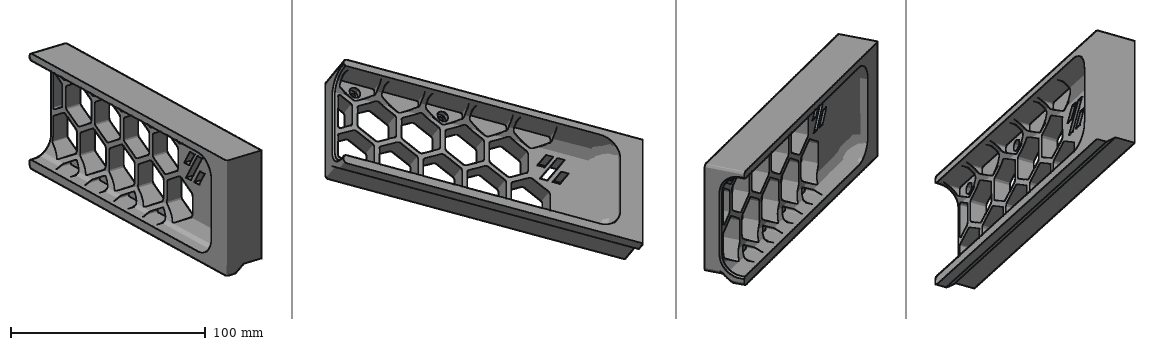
import cadquery as cq
import math

length = 170.5
depth = 22.3
height = 65.0

lip_depth = 5.6
step_end = 10.9
step_height = 4.1

end_round = 2.0
front_round = 1.0

pocket_end = 157.4
pocket_depth = 13.0
pocket_bottom = 5.1
pocket_top = 60.9
pocket_corner = 11.8
pocket_floor_round = 10.7
mouth_flare = 1.0

cell_width = 22.0
cells_per_row = 5
row_length = 125.0
cell_pitch = row_length / cells_per_row
row_pitch = cell_pitch * math.sin(math.radians(60))
first_row_z = 19.6
cell_left_limit = 2.9
cell_corner = 2.0
trim_corner = 1.0
tolerance = 0.002

screw_diameter = 3.2
counterbore_diameter = 6.0
counterbore_depth = 3.0
screw_z = 55.5
screw_cells = (0.5, 2.5)

slot_width = 4.1
slot_lean = 0.63
slot_bottom = 33.2
slot_middle = 41.1
slot_top = 49.0
left_slot_x = 116.3
long_slot_x = 117.8
right_slot_x = 125.0


def prism(points, start_y, end_y):
    """Extrude an outline of (x, z) points from start_y to end_y."""
    outline = cq.Workplane("XZ", origin=(0, start_y, 0)).polyline(points).close()
    return outline.extrude(start_y - end_y)


def box(x0, x1, y0, y1, z0, z1):
    """Box between two opposite corners."""
    return cq.Workplane("XY").box(x1 - x0, y1 - y0, z1 - z0, centered=False).translate((x0, y0, z0))


def make_bar(bottom):
    """Full-length bar from the given bottom up, with the long corners of the -X end rounded."""
    return box(0, length, 0, depth, bottom, height).edges("|Y and <X").fillet(end_round)


def make_body():
    """Full bar cut back by a slope behind the front lip, joined to a shallower bar."""
    slope_run = (step_end - lip_depth) / step_height * height
    slope_side = [(0, 0), (lip_depth, 0), (lip_depth + slope_run, height), (0, height)]
    lip_zone = cq.Workplane("YZ").polyline(slope_side).close().extrude(length)
    body = make_bar(0).intersect(lip_zone).union(make_bar(step_height))
    return body.faces("<Y").edges(">X").fillet(front_round)


def make_pocket():
    """Round-bottomed pocket that runs out through the -X end, with its flared mouth."""
    overrun = pocket_corner
    pocket = box(-overrun, pocket_end, -overrun, pocket_depth, pocket_bottom, pocket_top)
    pocket = pocket.edges("|Y and >X").fillet(pocket_corner)
    pocket = pocket.faces(">Y").edges("not(<X)").fillet(pocket_floor_round)

    mouth_round = pocket_floor_round + mouth_flare
    mouth_depth = pocket_depth + mouth_flare
    mouth = (
        cq.Workplane("YZ")
        .moveTo(-overrun, pocket_bottom - mouth_flare)
        .lineTo(mouth_depth - mouth_round, pocket_bottom - mouth_flare)
        .radiusArc((mouth_depth, pocket_bottom - mouth_flare + mouth_round), -mouth_round)
        .lineTo(mouth_depth, pocket_top + mouth_flare - mouth_round)
        .radiusArc((mouth_depth - mouth_round, pocket_top + mouth_flare), -mouth_round)
        .lineTo(-overrun, pocket_top + mouth_flare)
        .close()
        .extrude(mouth_flare, taper=45)
    )
    return pocket.union(mouth)


def make_cell(center_x, center_z, end_y):
    """Upright hexagonal cell, trimmed to the pocket area, with rounded corners."""
    corner_radius = cell_width / math.sqrt(3)
    corners = []
    for i in range(6):
        angle = math.radians(90 + 60 * i)
        x = center_x + corner_radius * math.cos(angle)
        z = center_z + corner_radius * math.sin(angle)
        corners.append((x, z))
    area = box(cell_left_limit, length, 0, depth, pocket_bottom, pocket_top)
    cell = prism(corners, 0, end_y)
    cell = cell.edges("|Y").fillet(cell_corner)
    cell = cell.intersect(area)

    def is_trimmed(edge):
        center = edge.Center()
        limits = [center.x - cell_left_limit, center.z - pocket_bottom, center.z - pocket_top]
        return min(abs(gap) for gap in limits) < tolerance

    trimmed_corners = cell.edges("|Y").filter(is_trimmed)
    return trimmed_corners.fillet(trim_corner) if trimmed_corners.size() else cell


def cut_honeycomb(part):
    """Two rows of through cells between two rows of recesses that stop at the pocket floor."""
    rows = [
        (-1, range(1, cells_per_row), pocket_depth),
        (0, range(cells_per_row), depth),
        (1, range(cells_per_row), depth),
        (2, range(cells_per_row), pocket_depth),
    ]
    for row, columns, end_y in rows:
        shift = 0.5 if row % 2 == 0 else 0
        for column in columns:
            center_x = (column + shift) * cell_pitch
            part = part.cut(make_cell(center_x, first_row_z + row * row_pitch, end_y))
    return part


def cut_screw_holes(part):
    """Counterbored screw holes through the pocket floor."""
    for position in screw_cells:
        floor = cq.Workplane("XZ", origin=(position * cell_pitch, pocket_depth, screw_z))
        part = part.cut(floor.circle(screw_diameter / 2).extrude(pocket_depth - depth))
        part = part.cut(floor.circle(counterbore_diameter / 2).extrude(-counterbore_depth))
    return part


def cut_slots(part):
    """Three parallel slanted slots through the pocket floor."""
    slots = [
        (left_slot_x, slot_middle, slot_top),
        (long_slot_x, slot_bottom, slot_top),
        (right_slot_x, slot_bottom, slot_middle),
    ]
    for x, z0, z1 in slots:
        shift = slot_lean * (z1 - z0)
        corners = [(x, z0), (x + slot_width, z0), (x + slot_width + shift, z1), (x + shift, z1)]
        part = part.cut(prism(corners, 0, depth))
    return part


result = make_body().cut(make_pocket())
result = cut_honeycomb(result)
result = cut_screw_holes(result)
result = cut_slots(result)